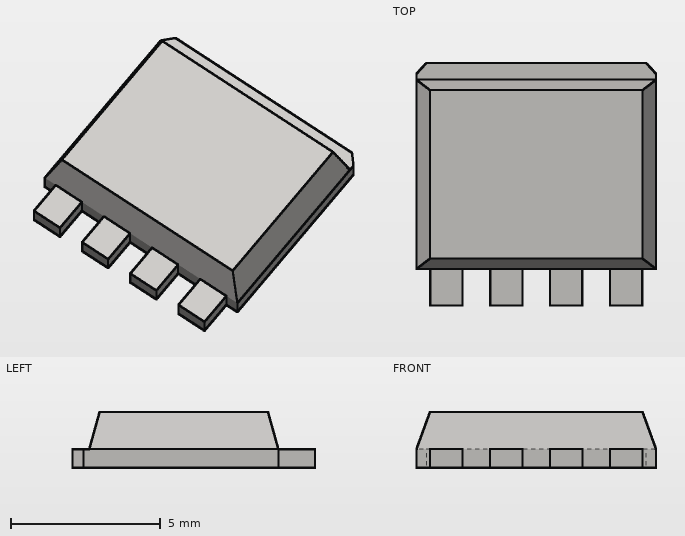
import cadquery as cq

width = 8.0
length = 8.1
height = 1.87

base_height = 0.62
lead_length = 1.22
lead_width = 1.085
lead_pitch = 2.0
lead_count = 4
tab_length = 0.56
corner_chamfer_x = 0.33
corner_chamfer_y = 0.365

side_inset = 0.45
end_inset = 0.35

front_y = -length / 2
back_y = length / 2
base_front_y = front_y + lead_length
base_length = length - lead_length
body_length = base_length - tab_length
body_center_y = base_front_y + body_length / 2


def make_base():
    """Flat plate with its two back corners cut off."""
    half_width = width / 2
    outline = [
        (-half_width, base_front_y),
        (half_width, base_front_y),
        (half_width, back_y - corner_chamfer_y),
        (half_width - corner_chamfer_x, back_y),
        (-half_width + corner_chamfer_x, back_y),
        (-half_width, back_y - corner_chamfer_y),
    ]
    return cq.Workplane("XY").polyline(outline).close().extrude(base_height)


def make_body():
    """Block on the base whose four sides lean inward."""
    return (
        cq.Workplane("XY", origin=(0, body_center_y, base_height))
        .rect(width, body_length)
        .workplane(offset=height - base_height)
        .rect(width - 2 * side_inset, body_length - 2 * end_inset)
        .loft(ruled=True)
    )


def make_leads():
    """Row of evenly spaced leads, level with the base plate."""
    return (
        cq.Workplane("XY", origin=(0, front_y + lead_length / 2, 0))
        .rarray(lead_pitch, 0.08, lead_count, 1)
        .rect(lead_width, lead_length)
        .extrude(base_height)
    )


result = make_base().union(make_body()).union(make_leads())